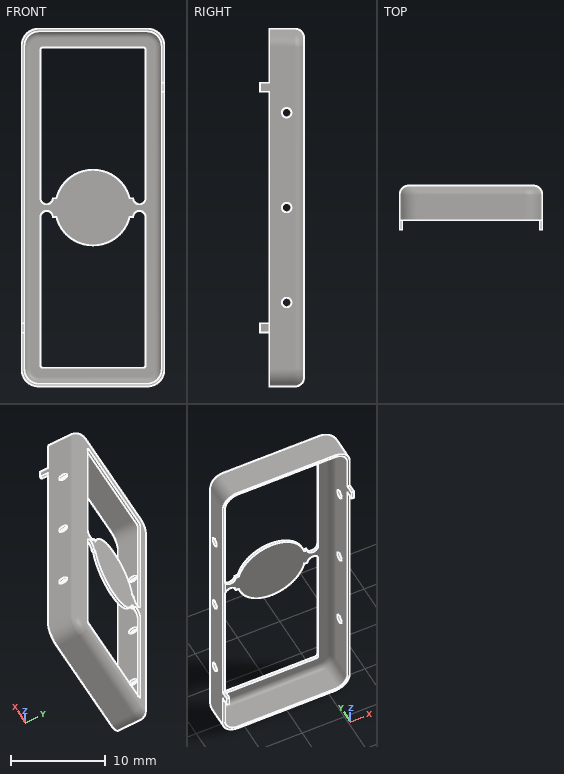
import cadquery as cq

width = 15.1
height = 37.8
total_depth = 4.7
tab_length = 1.0
tray_depth = total_depth - tab_length
wall = 0.3
corner_radius = 1.8
floor_edge_radius = 1.0

frame_border = 2.0
window_width = width - 2 * frame_border
window_height = height - 2 * frame_border
window_corner_radius = 0.23
disc_radius = 4.0
arm_height = 2.0
notch_radius = 0.65

hole_diameter = 1.0
hole_spacing = 10.0
tab_height = 1.0
tab_offset = 12.7


def block(size_x, depth, size_z):
    """Box centred on X and Z that starts at Y = 0."""
    return cq.Workplane("XY").box(size_x, depth, size_z, centered=(True, False, True))


def rounded_block(inset):
    """Tray envelope moved inwards by inset, with a rounded far edge."""
    body = block(width - 2 * inset, tray_depth - inset, height - 2 * inset)
    body = body.edges("|Y").fillet(corner_radius - inset)
    return body.faces(">Y").edges().fillet(floor_edge_radius - inset)


def floor_cylinder(radius, x=0, z=0):
    """Cylinder along Y that spans the floor thickness."""
    base = cq.Vector(x, tray_depth - wall, z)
    return cq.Workplane(cq.Solid.makeCylinder(radius, wall, base, cq.Vector(0, 1, 0)))


def make_window():
    """Cutter for the window, leaving the disc and its arms in place."""
    window = block(window_width, wall, window_height)
    window = window.edges("|Y").fillet(window_corner_radius)
    arms = block(window_width, wall, arm_height)
    to_floor = (0, tray_depth - wall, 0)
    cutter = window.cut(arms).translate(to_floor).cut(floor_cylinder(disc_radius))
    notch_x = window_width / 2 - notch_radius
    for x in (-notch_x, notch_x):
        for z in (-arm_height / 2, arm_height / 2):
            cutter = cutter.union(floor_cylinder(notch_radius, x, z))
    return cutter


def make_side_holes():
    """Three holes along X that pass through both long walls."""
    return (
        cq.Workplane("YZ")
        .pushPoints([(tray_depth / 2, i * hole_spacing) for i in (-1, 0, 1)])
        .circle(hole_diameter / 2)
        .extrude(width, both=True)
    )


def make_tab(side):
    """Tab on the rim: side +1 is high on the +X wall, -1 is low on the -X wall."""
    tab = block(wall, 2 * tab_length, tab_height)
    return tab.translate((side * (width - wall) / 2, -tab_length, side * tab_offset))


result = rounded_block(0).cut(rounded_block(wall))
result = result.cut(make_window()).cut(make_side_holes())
for side in (-1, 1):
    result = result.union(make_tab(side))